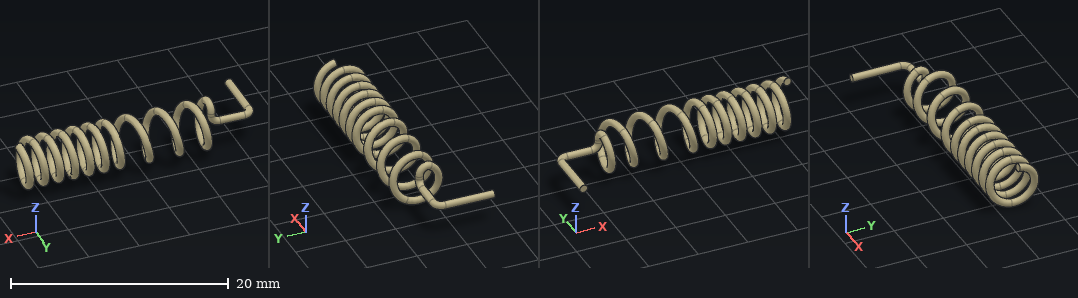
import cadquery as cq
import math

wire_diameter = 0.8
wire_radius = wire_diameter / 2
total_length = 24
total_depth = 8.18
coil_diameter = 5.0
coil_radius = (coil_diameter - wire_diameter) / 2

coarse_pitch = 3.0
fine_pitch = coarse_pitch / 2
ramp_turns = 0.5
coarsening_start = 0.45
coarse_turns = 2.3
fining_start = coarsening_start + ramp_turns + coarse_turns
start_angle = 30
end_angle = -6
whole_turns = 10
coil_turns = whole_turns + (end_angle - start_angle) / 360
stretches_per_turn = 2
steps_per_stretch = 8

bend_radius = 0.8
leg_x = wire_radius
leg_end_y = coil_diameter / 2 - total_depth
riser_x = 4.45
riser_top_z = 1.08


def added_pitch(turns):
    """Extra pitch after a linear change from fine to coarse begins."""
    return (coarse_pitch - fine_pitch) * min(max(turns / ramp_turns, 0), 1)


def added_travel(turns):
    """Extra travel along X from that change of pitch."""
    inside = min(max(turns, 0), ramp_turns)
    beyond = max(turns - ramp_turns, 0)
    return (coarse_pitch - fine_pitch) * (inside**2 / (2 * ramp_turns) + beyond)


def coil_pitch(turns):
    return fine_pitch + added_pitch(turns - coarsening_start) - added_pitch(turns - fining_start)


def coil_travel(turns):
    """Distance along X from the start of the coil."""
    return fine_pitch * turns + added_travel(turns - coarsening_start) - added_travel(turns - fining_start)


coil_start_x = total_length - wire_radius - coil_travel(coil_turns)


def coil_angle(turns):
    """Angle from +Z toward -Y."""
    return math.radians(start_angle + 360 * turns)


def coil_point(turns):
    angle = coil_angle(turns)
    x = coil_start_x + coil_travel(turns)
    return cq.Vector(x, -coil_radius * math.sin(angle), coil_radius * math.cos(angle))


def coil_tangent(turns):
    """Rate of change of the coil point per turn."""
    angle = coil_angle(turns)
    speed = 2 * math.pi * coil_radius
    return cq.Vector(coil_pitch(turns), -speed * math.cos(angle), -speed * math.sin(angle))


def bend(start, corner, end):
    """Quarter-circle bend between two points one bend radius from the corner."""
    center = start + end - corner
    middle = center + (corner - center).normalized() * bend_radius
    return cq.Edge.makeThreePointArc(start, middle, end)


leg_end = cq.Vector(leg_x, leg_end_y, 0)
leg_corner = cq.Vector(leg_x, 0, 0)
leg_top = leg_corner - cq.Vector(0, bend_radius, 0)
run_start = leg_corner + cq.Vector(bend_radius, 0, 0)
riser_corner = cq.Vector(riser_x, 0, 0)
run_end = riser_corner - cq.Vector(bend_radius, 0, 0)
riser_start = riser_corner + cq.Vector(0, 0, bend_radius)
riser_top = cq.Vector(riser_x, 0, riser_top_z)

lead_edges = [
    cq.Edge.makeLine(leg_end, leg_top),
    bend(leg_top, leg_corner, run_start),
    cq.Edge.makeLine(run_start, run_end),
    bend(run_end, riser_corner, riser_start),
    cq.Edge.makeLine(riser_start, riser_top),
]

hook_tangents = [cq.Vector(0, 0, 1), coil_tangent(0).normalized()]
hook = cq.Edge.makeSpline([riser_top, coil_point(0)], tangents=hook_tangents)

stretch_count = math.ceil(coil_turns * stretches_per_turn)
stretch_turns = coil_turns / stretch_count


def coil_stretch(index):
    turns = [stretch_turns * (index + step / steps_per_stretch) for step in range(steps_per_stretch + 1)]
    points = [coil_point(turn) for turn in turns]
    tangents = [coil_tangent(turns[0]), coil_tangent(turns[-1])]
    return cq.Edge.makeSpline(points, tangents=tangents, parameters=turns, scale=False)


coil_edges = [coil_stretch(index) for index in range(stretch_count)]


def swept_wire(edges, direction):
    """Round wire along connected edges, whose first edge starts in the given direction."""
    path = cq.Wire.assembleEdges(edges)
    plane = cq.Plane(origin=edges[0].startPoint(), normal=direction)
    return cq.Workplane(plane).circle(wire_radius).sweep(cq.Workplane(obj=path))


lead = swept_wire(lead_edges, cq.Vector(0, 1, 0))
hook_wire = swept_wire([hook], cq.Vector(0, 0, 1))
coil_wire = swept_wire(coil_edges, coil_tangent(0))
result = lead.union(hook_wire).union(coil_wire)